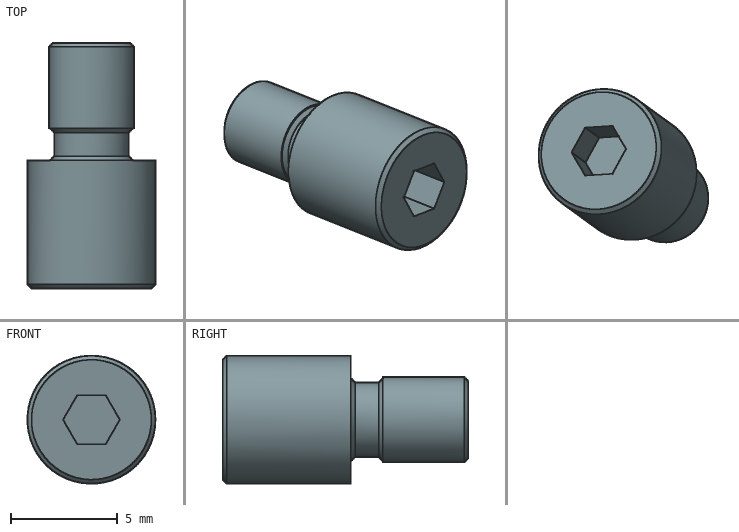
import cadquery as cq
import math

total_length = 11.5
head_diameter = 6.0
head_length = 6.0
shank_diameter = 4.0
shank_length = 4.0
neck_diameter = 3.5
edge_chamfer = 0.2

neck_taper = 0.2

socket_across_flats = 2.3
socket_depth = 2.3

head_radius = head_diameter / 2
shank_radius = shank_diameter / 2
neck_radius = neck_diameter / 2
shank_start = total_length - shank_length


def revolved_body():
    """Head, undercut neck and shank as one turned body about the Y axis."""
    taper_radius = neck_radius + neck_taper
    profile = (
        cq.Workplane("XY")
        .lineTo(head_radius - edge_chamfer, 0)
        .lineTo(head_radius, edge_chamfer)
        .lineTo(head_radius, head_length)
        .lineTo(taper_radius, head_length)
        .lineTo(neck_radius, head_length + neck_taper)
        .lineTo(neck_radius, shank_start - neck_taper)
        .lineTo(taper_radius, shank_start)
        .lineTo(shank_radius, shank_start)
        .lineTo(shank_radius, total_length - edge_chamfer)
        .lineTo(shank_radius - edge_chamfer, total_length)
        .lineTo(0, total_length)
        .close()
    )
    return profile.revolve(360, (0, 0, 0), (0, 1, 0))


def hex_socket():
    """Hexagonal prism entering the head face, with two corners on the X axis."""
    across_corners = socket_across_flats / math.cos(math.pi / 6)
    return cq.Workplane("XZ").polygon(6, across_corners).extrude(-socket_depth)


result = revolved_body().cut(hex_socket())